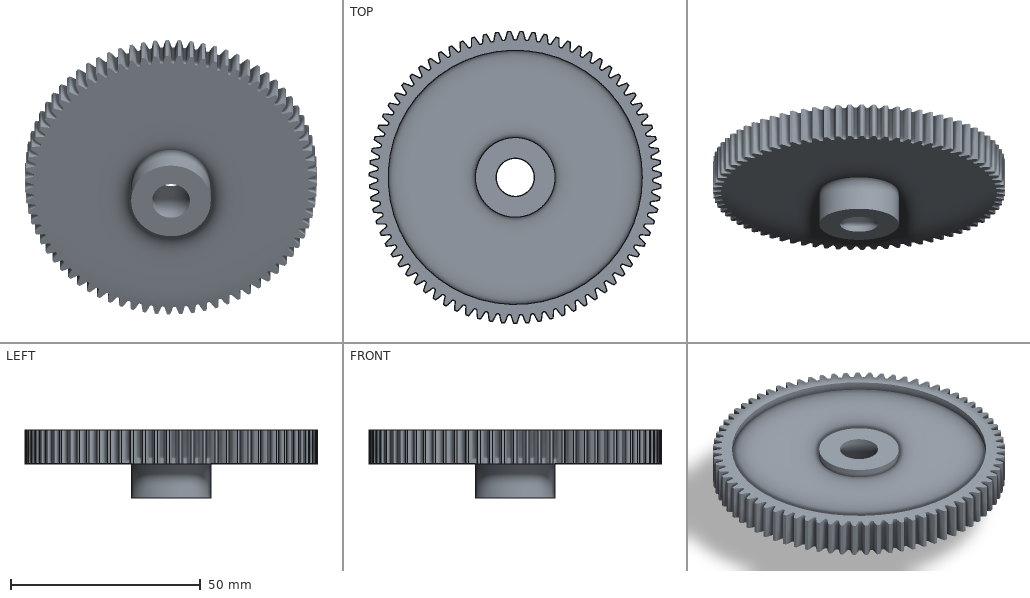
import cadquery as cq
import math

MODULE = 1.0
TEETH = 75
PRESSURE_ANGLE = math.radians(20)
PITCH_RADIUS = MODULE * TEETH / 2
BASE_RADIUS = PITCH_RADIUS * math.cos(PRESSURE_ANGLE)
TIP_RADIUS = PITCH_RADIUS + MODULE
ROOT_RADIUS = PITCH_RADIUS - 1.25 * MODULE
ROOT_FILLET = 0.38 * MODULE
TOOTH_PITCH = 360 / TEETH
FIRST_GAP_ANGLE = 90

FACE_WIDTH = 9.0
HUB_LENGTH = 18.0
HUB_DIAMETER = 21.0
BORE_DIAMETER = 10.0
RECESS_DIAMETER = 67.0
RECESS_DEPTH = 2.2

CUT_CLEARANCE = 0.5


def involute(angle):
    return math.tan(angle) - angle


def gap_point(radius, side):
    """Point on a tooth flank of the gap centred on +X; side is +1 or -1."""
    flank_pressure_angle = math.acos(BASE_RADIUS / radius)
    half_gap = (
        math.pi / (2 * TEETH)
        - involute(PRESSURE_ANGLE)
        + involute(flank_pressure_angle)
    )
    return (radius * math.cos(half_gap), side * radius * math.sin(half_gap))


def tooth_gap():
    """Prism filling one tooth gap, with involute flanks and a rounded root."""
    outer_radius = TIP_RADIUS + CUT_CLEARANCE
    gap = (
        cq.Workplane("XY")
        .moveTo(*gap_point(outer_radius, -1))
        .threePointArc(gap_point(PITCH_RADIUS, -1), gap_point(ROOT_RADIUS, -1))
        .threePointArc((ROOT_RADIUS, 0), gap_point(ROOT_RADIUS, 1))
        .threePointArc(gap_point(PITCH_RADIUS, 1), gap_point(outer_radius, 1))
        .close()
        .extrude(FACE_WIDTH)
    )
    root_edges = cq.selectors.BoxSelector(
        (0, -TIP_RADIUS, 0), (PITCH_RADIUS, TIP_RADIUS, FACE_WIDTH)
    )
    return gap.edges("|Z").edges(root_edges).fillet(ROOT_FILLET).val()


def toothed_rim():
    blank = cq.Workplane("XY").circle(TIP_RADIUS).extrude(FACE_WIDTH)
    gap = tooth_gap()
    origin = cq.Vector(0, 0, 0)
    axis = cq.Vector(0, 0, 1)
    gaps = [
        gap.rotate(origin, axis, FIRST_GAP_ANGLE + index * TOOTH_PITCH)
        for index in range(TEETH)
    ]
    return blank.cut(cq.Workplane(cq.Compound.makeCompound(gaps)))


def rim_recess():
    """Ring-shaped recess in the top face, between the rim and the hub."""
    return (
        cq.Workplane("XY", origin=(0, 0, FACE_WIDTH - RECESS_DEPTH))
        .circle(RECESS_DIAMETER / 2)
        .circle(HUB_DIAMETER / 2)
        .extrude(RECESS_DEPTH)
    )


def cylinder_below_top(diameter):
    """Full-length cylinder on the gear axis, flush with the top face."""
    return (
        cq.Workplane("XY", origin=(0, 0, FACE_WIDTH))
        .circle(diameter / 2)
        .extrude(-HUB_LENGTH)
    )


result = (
    toothed_rim()
    .cut(rim_recess())
    .union(cylinder_below_top(HUB_DIAMETER))
    .cut(cylinder_below_top(BORE_DIAMETER))
)